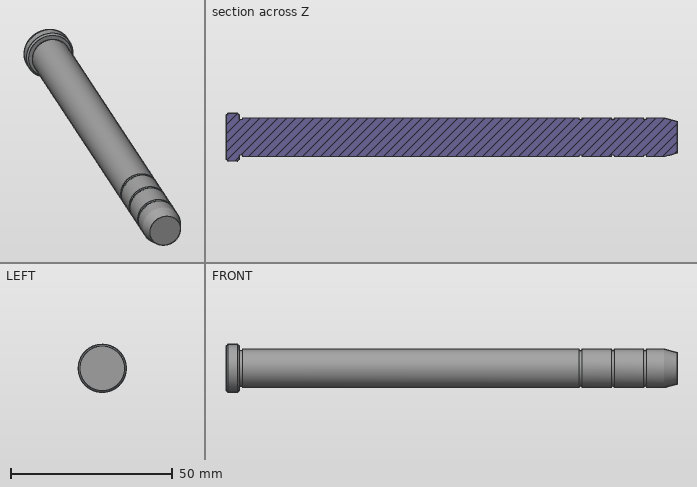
import cadquery as cq
import math

total_length = 140.0
head_diameter = 15.0
head_length = 4.0
head_chamfer = 0.5
shank_diameter = 12.0

relief_width = 1.0
relief_depth = 0.4

groove_count = 3
grooves_per_length = 14
groove_pitch = total_length / grooves_per_length
groove_radius = 0.49

tip_length = 4.0
tip_angle = 15.0

head_radius = head_diameter / 2
shank_radius = shank_diameter / 2
tip_radius = shank_radius - tip_length * math.tan(math.radians(tip_angle))
left_end = -total_length / 2
right_end = total_length / 2
head_back = left_end + head_length
relief_end = head_back + relief_width
relief_radius = shank_radius - relief_depth


def revolve_around_x(profile):
    """Turn a closed profile, drawn above the X axis, into a solid of revolution."""
    return profile.close().revolve(360, (0, 0, 0), (1, 0, 0))


def make_body():
    """Chamfered head, relief, plain shank and tapered tip."""
    profile = (
        cq.Workplane("XY")
        .moveTo(left_end, 0)
        .lineTo(left_end, head_radius - head_chamfer)
        .lineTo(left_end + head_chamfer, head_radius)
        .lineTo(head_back - head_chamfer, head_radius)
        .lineTo(head_back, head_radius - head_chamfer)
        .lineTo(head_back, relief_radius)
        .lineTo(relief_end, relief_radius)
        .lineTo(relief_end, shank_radius)
        .lineTo(right_end - tip_length, shank_radius)
        .lineTo(right_end, tip_radius)
        .lineTo(right_end, 0)
    )
    return revolve_around_x(profile)


def make_groove(center):
    """Ring with a half-round section that cuts one groove into the shank."""
    profile = (
        cq.Workplane("XY")
        .moveTo(center - groove_radius, shank_radius)
        .threePointArc(
            (center, shank_radius - groove_radius),
            (center + groove_radius, shank_radius),
        )
    )
    return revolve_around_x(profile)


result = make_body()
for index in range(groove_count):
    groove_center = right_end - (index + 1) * groove_pitch
    result = result.cut(make_groove(groove_center))